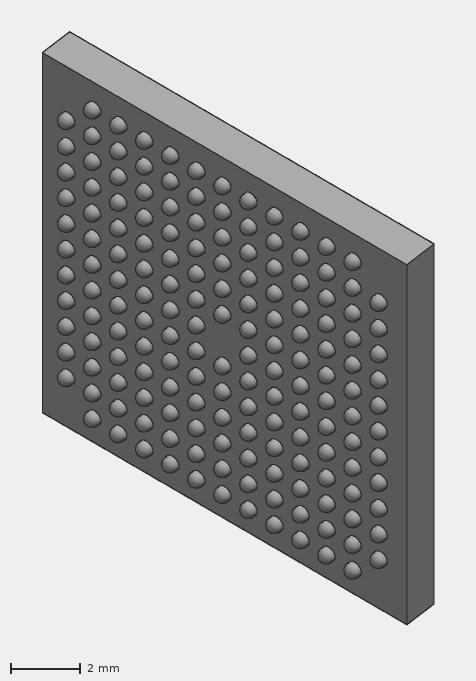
import cadquery as cq

side = 14.0
overall_depth = 1.55
plate_thickness = 1.2

ball_diameter = 0.5
ball_height = overall_depth - plate_thickness

balls_per_side = 13
pitch = side / (balls_per_side + 1)


def make_plate():
    """Square plate with its front face on Y = 0."""
    return cq.Workplane("XZ").rect(side, side).extrude(-plate_thickness)


def make_ball_positions():
    """Square grid of (x, z) places without its four corners and its centre."""
    last = balls_per_side // 2
    places = []
    for column in range(-last, last + 1):
        for row in range(-last, last + 1):
            is_corner = abs(column) == last and abs(row) == last
            is_centre = column == 0 and row == 0
            if not is_corner and not is_centre:
                places.append((column * pitch, row * pitch))
    return places


def make_ball():
    """Neck and hemisphere turned about the Y axis, standing on Y = 0 and pointing toward -Y."""
    radius = ball_diameter / 2
    neck_length = ball_height - radius
    return (
        cq.Workplane("XY")
        .lineTo(radius, 0)
        .lineTo(radius, -neck_length)
        .radiusArc((0, -ball_height), radius)
        .close()
        .revolve(360, (0, 0, 0), (0, 1, 0))
    )


ball = make_ball().val()
balls = [ball.translate(cq.Vector(x, 0, z)) for x, z in make_ball_positions()]
result = cq.Workplane(make_plate().val().fuse(*balls))